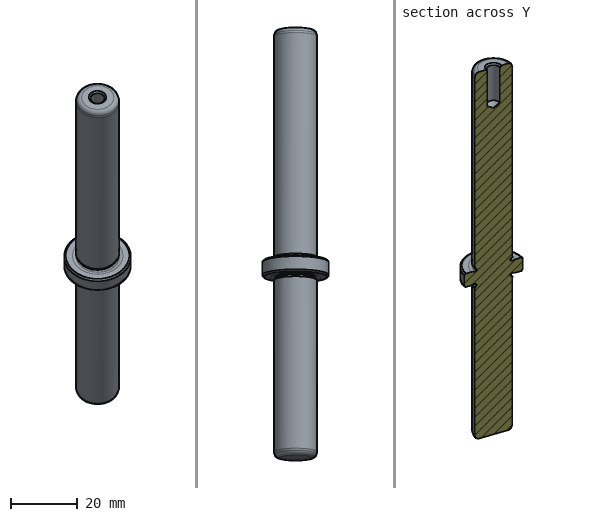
import cadquery as cq
import math

LENGTH = 130.0
SHAFT_RADIUS = 6.5
COLLAR_RADIUS = 10.0
COLLAR_THICKNESS = 5.0
COLLAR_CHAMFER = 0.5
UPPER_SHAFT_LENGTH = 70.1

END_ROUND_RADIUS = 1.5
TAPER_ANGLE = math.radians(15)
TAPER_LENGTH = 0.6

UNDERCUT_RADIUS = 5.8
UNDERCUT_START = 1.0
UNDERCUT_SLOPE_LENGTH = 0.6
UNDERCUT_ROUND = 0.5
RECESS_OUTER_RADIUS = 7.5
RECESS_DEPTH = 0.3

HOLE_RADIUS = 2.1
HOLE_DEPTH = 13.0
COUNTERSINK_RADIUS = 2.6
DRILL_POINT_HALF_ANGLE = math.radians(59)

TOP = LENGTH / 2
COLLAR_TOP = TOP - UPPER_SHAFT_LENGTH
COLLAR_BOTTOM = COLLAR_TOP - COLLAR_THICKNESS


def make_shaft(collar_face, end, direction):
    """Revolve one shaft from inside the collar to its end, along +Z or -Z."""
    taper_radius = SHAFT_RADIUS - TAPER_LENGTH * math.tan(TAPER_ANGLE)
    round_center_radius = taper_radius - END_ROUND_RADIUS * math.cos(TAPER_ANGLE)
    middle_angle = (math.pi / 2 + TAPER_ANGLE) / 2

    def round_point(angle):
        depth = END_ROUND_RADIUS * (1 - math.sin(angle))
        return round_center_radius + END_ROUND_RADIUS * math.cos(angle), end - direction * depth

    taper_start = round_point(TAPER_ANGLE)
    undercut_start = collar_face + direction * UNDERCUT_START
    slope_end = undercut_start - direction * UNDERCUT_SLOPE_LENGTH
    collar_middle = (COLLAR_TOP + COLLAR_BOTTOM) / 2
    return (
        cq.Workplane("XZ")
        .moveTo(0, collar_middle)
        .lineTo(UNDERCUT_RADIUS, collar_middle)
        .lineTo(UNDERCUT_RADIUS, slope_end)
        .lineTo(SHAFT_RADIUS, undercut_start)
        .lineTo(SHAFT_RADIUS, taper_start[1] - direction * TAPER_LENGTH)
        .lineTo(*taper_start)
        .threePointArc(round_point(middle_angle), round_point(math.pi / 2))
        .lineTo(0, end)
        .close()
        .revolve(360, (0, 0), (0, 1))
    )


def make_recess(collar_face, direction):
    """Shallow ring recess in a collar face, rounded at the shaft and sloping up outward."""
    floor = collar_face - direction * RECESS_DEPTH
    round_top = floor + direction * UNDERCUT_ROUND
    arc_offset = UNDERCUT_ROUND * (1 - math.sqrt(0.5))
    arc_middle = (UNDERCUT_RADIUS + arc_offset, floor + direction * arc_offset)
    return (
        cq.Workplane("XZ")
        .moveTo(UNDERCUT_RADIUS, round_top)
        .threePointArc(arc_middle, (UNDERCUT_RADIUS + UNDERCUT_ROUND, floor))
        .lineTo(SHAFT_RADIUS, floor)
        .lineTo(RECESS_OUTER_RADIUS, collar_face)
        .lineTo(RECESS_OUTER_RADIUS, round_top)
        .close()
        .revolve(360, (0, 0), (0, 1))
    )


def make_collar():
    """Chamfered collar with a recess around the shaft on both faces."""
    blank = (
        cq.Workplane("XY")
        .workplane(offset=COLLAR_BOTTOM)
        .circle(COLLAR_RADIUS)
        .extrude(COLLAR_THICKNESS)
        .edges()
        .chamfer(COLLAR_CHAMFER)
    )
    return blank.cut(make_recess(COLLAR_TOP, 1)).cut(make_recess(COLLAR_BOTTOM, -1))


def make_hole():
    """Blind drilled hole with a 45 degree countersink and a conical bottom."""
    hole_bottom = TOP - HOLE_DEPTH
    countersink_depth = COUNTERSINK_RADIUS - HOLE_RADIUS
    point_depth = HOLE_RADIUS / math.tan(DRILL_POINT_HALF_ANGLE)
    return (
        cq.Workplane("XZ")
        .moveTo(0, TOP)
        .lineTo(COUNTERSINK_RADIUS, TOP)
        .lineTo(HOLE_RADIUS, TOP - countersink_depth)
        .lineTo(HOLE_RADIUS, hole_bottom)
        .lineTo(0, hole_bottom - point_depth)
        .close()
        .revolve(360, (0, 0), (0, 1))
    )


upper_shaft = make_shaft(COLLAR_TOP, TOP, 1)
lower_shaft = make_shaft(COLLAR_BOTTOM, -TOP, -1)
result = make_collar().union(upper_shaft).union(lower_shaft).cut(make_hole())